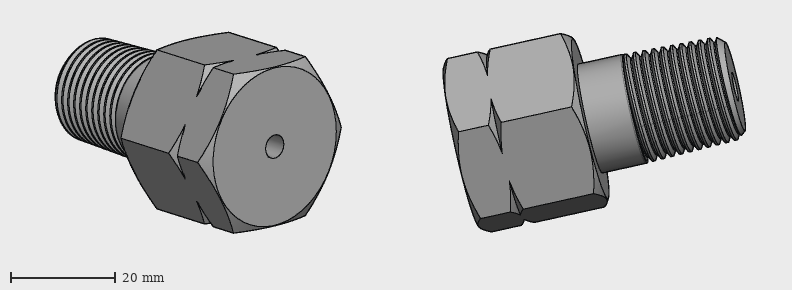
import cadquery as cq
import math

total_length = 53.85
hex_start = 28.55
thread_length = 19.9
relief_position = 45.2

across_flats = 31.75
across_corners = across_flats / math.cos(math.radians(30))
corner_radius = across_corners / 2
face_circle_radius = 15.7
relief_root_radius = 16.15
corner_chamfer_angle = 30.0
relief_flank_angle = 30.0

neck_radius = 10.7
bore_radius = 2.3
bore_chamfer = 0.5

collar_width = 0.25
collar_start = thread_length - collar_width
thread_turns = 11
pitch = thread_length / thread_turns
taper_slope = 1 / 32
thread_end_radius = 10.65
thread_start_radius = thread_end_radius - taper_slope * thread_length
tip_radius = 8.7
tip_chamfer_length = 1.55
thread_depth = 0.95
crest_width = 0.45
flank_half_angle = 30.0
groove_lead_in = 1.2 * pitch
groove_turns = thread_turns + 2
groove_overshoot = 0.2


def turned(points):
    """Revolve an (x, radius) outline about the X axis."""
    return cq.Workplane("XY").polyline(points).close().revolve(360, (0, 0, 0), (1, 0, 0))


def make_hexagon():
    """Hexagon with both ends chamfered and a V relief turned into its corners."""
    end_drop = (corner_radius - face_circle_radius) * math.tan(math.radians(corner_chamfer_angle))
    relief_half_width = (corner_radius - relief_root_radius) * math.tan(math.radians(relief_flank_angle))
    envelope = turned([
        (hex_start, 0),
        (hex_start, face_circle_radius),
        (hex_start + end_drop, corner_radius),
        (relief_position - relief_half_width, corner_radius),
        (relief_position, relief_root_radius),
        (relief_position + relief_half_width, corner_radius),
        (total_length - end_drop, corner_radius),
        (total_length, face_circle_radius),
        (total_length, 0),
    ])
    prism = (
        cq.Workplane("YZ", origin=(hex_start, 0, 0))
        .polygon(6, across_corners)
        .extrude(total_length - hex_start)
    )
    return prism.intersect(envelope)


def make_groove_spine(root_radius, taper_angle):
    """Conical helix about Z, joined from single turns to keep each groove face small."""
    turn_pitch = pitch / math.cos(math.radians(taper_angle))
    edges = []
    for turn in range(groove_turns):
        rise = turn * pitch
        helix = cq.Wire.makeHelix(
            turn_pitch,
            turn_pitch,
            root_radius + rise * taper_slope,
            center=cq.Vector(0, 0, rise),
            angle=taper_angle,
        )
        edges.extend(helix.Edges())
    return cq.Wire.assembleEdges(edges)


def make_thread_groove():
    """Right-hand tapered thread groove, swept about Z and then laid along X."""
    root_radius = thread_start_radius - taper_slope * groove_lead_in - thread_depth
    outer_radius = root_radius + thread_depth + groove_overshoot
    flank_slope = math.tan(math.radians(flank_half_angle))
    root_half_width = (pitch - crest_width) / 2 - thread_depth * flank_slope
    outer_half_width = root_half_width + (thread_depth + groove_overshoot) * flank_slope
    spine = make_groove_spine(root_radius, math.degrees(math.atan(taper_slope)))
    groove = (
        cq.Workplane("XZ")
        .polyline([
            (root_radius, -root_half_width),
            (outer_radius, -outer_half_width),
            (outer_radius, outer_half_width),
            (root_radius, root_half_width),
        ])
        .close()
        .sweep(cq.Workplane(spine), isFrenet=True)
    )
    laid_along_x = groove.rotate((0, 0, 0), (0, 1, 0), 90)
    return laid_along_x.translate((-groove_lead_in, 0, 0))


def make_thread():
    """Tapered threaded end with a chamfered tip."""
    blank = turned([
        (0, 0),
        (0, tip_radius),
        (tip_chamfer_length, thread_start_radius + taper_slope * tip_chamfer_length),
        (collar_start, thread_start_radius + taper_slope * collar_start),
        (collar_start, 0),
    ])
    return blank.cut(make_thread_groove())


def make_neck():
    """Plain cylinder up to the hexagon, with a fine bevelled collar where the thread runs out."""
    return turned([
        (collar_start, 0),
        (collar_start, thread_end_radius),
        (thread_length, neck_radius),
        (hex_start, neck_radius),
        (hex_start, 0),
    ])


def make_bore():
    """Through bore with a 45 degree chamfer at the threaded end."""
    return turned([
        (0, 0),
        (0, bore_radius + bore_chamfer),
        (bore_chamfer, bore_radius),
        (total_length, bore_radius),
        (total_length, 0),
    ])


body = make_hexagon().union(make_neck()).union(make_thread())
result = body.cut(make_bore())